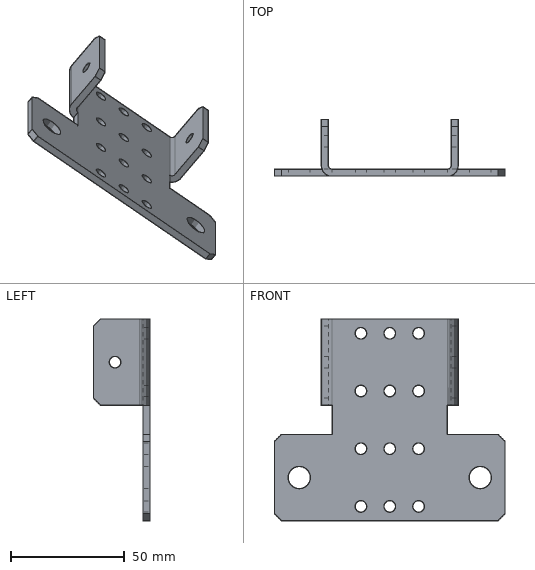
import cadquery as cq

base_width = 101.6
total_height = 88.9
total_depth = 25.0
hole_pitch = 12.7
small_hole_diameter = 5.0
large_hole_diameter = 9.7
large_hole_spacing = 79.7
flange_hole_setback = 9.5

thickness = hole_pitch / 4
corner_chamfer = thickness
inner_bend_radius = thickness / 2
outer_bend_radius = inner_bend_radius + thickness
neck_width = 4 * hole_pitch
base_height = 3 * hole_pitch
flange_height = 3 * hole_pitch
row_pitch = 2 * hole_pitch
channel_width = neck_width + 2 * outer_bend_radius
flange_bottom = total_height - flange_height


def box_from(x_min, y_min, z_min, x_size, y_size, z_size):
    """Box placed by its lowest corner."""
    box = cq.Workplane("XY").box(x_size, y_size, z_size, centered=False)
    return box.translate((x_min, y_min, z_min))


def holes_along_y(points, diameter):
    """Cylinders through the plate at the given (x, z) points."""
    plane = cq.Workplane("XZ").pushPoints(points)
    return plane.circle(diameter / 2).extrude(-thickness)


def make_plate():
    """Wide base with clipped corners and a narrower neck above it."""
    base = box_from(-base_width / 2, 0, 0, base_width, thickness, base_height)
    base = base.edges("|Y").chamfer(corner_chamfer)
    neck = box_from(-neck_width / 2, 0, 0, neck_width, thickness, total_height)
    return base.union(neck)


def make_channel():
    """Bent U section: web, rounded bends and two flanges with clipped rear corners."""
    inner_width = channel_width - 2 * thickness
    outer = box_from(-channel_width / 2, 0, flange_bottom, channel_width, total_depth, flange_height)
    outer = outer.edges("|Z and <Y").fillet(outer_bend_radius)
    outer = outer.edges("|X and >Y").chamfer(corner_chamfer)
    inner = box_from(-inner_width / 2, thickness, flange_bottom, inner_width, total_depth, flange_height)
    inner = inner.edges("|Z and <Y").fillet(inner_bend_radius)
    return outer.cut(inner)


def make_flange_holes():
    """One cylinder across both flanges, at mid height."""
    center = (total_depth - flange_hole_setback, flange_bottom + flange_height / 2)
    plane = cq.Workplane("YZ").center(*center)
    return plane.circle(small_hole_diameter / 2).extrude(channel_width / 2, both=True)


grid_bottom = hole_pitch / 2
grid_points = [
    (column * hole_pitch, grid_bottom + row * row_pitch)
    for column in (-1, 0, 1)
    for row in range(4)
]

mounting_points = [(side * large_hole_spacing / 2, base_height / 2) for side in (-1, 1)]

result = make_plate().union(make_channel())
result = result.cut(holes_along_y(grid_points, small_hole_diameter))
result = result.cut(holes_along_y(mounting_points, large_hole_diameter))
result = result.cut(make_flange_holes())